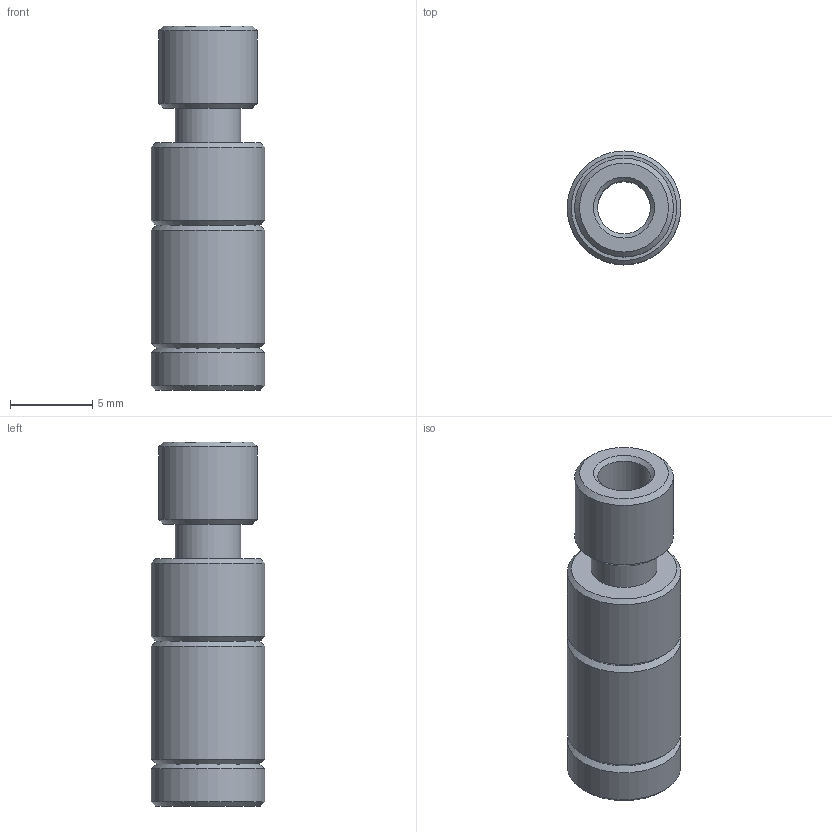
import cadquery as cq

body_diameter = 6.9
body_length = 15.0
body_chamfer = 0.25

neck_diameter = 4.0
neck_length = 2.1

head_diameter = 6.0
head_length = 5.0
head_chamfer = 0.3

groove_heights = (2.55, 10.0)
groove_half_width = 0.3
groove_depth = 0.3

bore_diameter = 3.2
bore_chamfer = 0.25

neck_base = body_length
head_base = neck_base + neck_length
total_length = head_base + head_length


def cylinder(diameter, length, base):
    """Upright cylinder on the Z axis."""
    return cq.Workplane("XY").workplane(offset=base).circle(diameter / 2).extrude(length)


def chamfered_cylinder(diameter, length, base, chamfer):
    """Upright cylinder with both end rims chamfered."""
    return cylinder(diameter, length, base).faces("<Z or >Z").edges().chamfer(chamfer)


def v_groove_cutter(height):
    """Ring with a triangular section whose tip points at the axis."""
    rim_radius = body_diameter / 2
    root_radius = rim_radius - groove_depth
    outer_radius = root_radius + 2 * groove_depth
    outer_half_width = 2 * groove_half_width
    return (
        cq.Workplane("XZ")
        .moveTo(root_radius, height)
        .lineTo(outer_radius, height - outer_half_width)
        .lineTo(outer_radius, height + outer_half_width)
        .close()
        .revolve(360, (0, 0, 0), (0, 1, 0))
    )


def make_pin():
    """Body, neck and head joined into one solid."""
    body = chamfered_cylinder(body_diameter, body_length, 0, body_chamfer)
    neck = cylinder(neck_diameter, neck_length, neck_base)
    head = chamfered_cylinder(head_diameter, head_length, head_base, head_chamfer)
    return body.union(neck).union(head)


def cut_bore(part):
    """Bore the part end to end and chamfer the mouth in the head."""
    bored = part.cut(cylinder(bore_diameter, total_length, 0))
    smallest_circle = cq.selectors.RadiusNthSelector(0)
    return bored.faces(">Z").edges(smallest_circle).chamfer(bore_chamfer)


pin = make_pin()
for groove_height in groove_heights:
    pin = pin.cut(v_groove_cutter(groove_height))

result = cut_bore(pin)